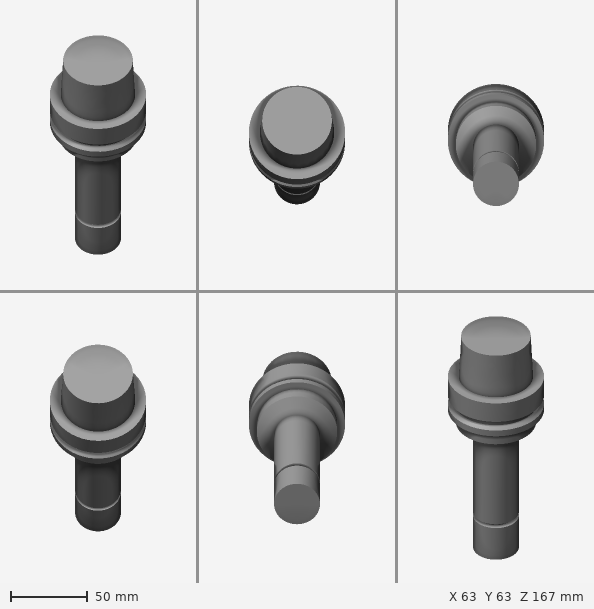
import cadquery as cq

total_height = 167.0
head_height = 25.0
neck_top = 28.0
cone_bottom = 94.0
collar_bottom = 99.2
flange_bottom = 109.0
flange_top = 135.1

groove_middle = 117.0
groove_width = 3.8
groove_diameter = 55.0
groove_flank_height = 1.5
groove_lip_diameter = 58.1

flange_diameter = 63.0
collar_diameter = 52.6
shank_diameter = 30.0
neck_diameter = 23.0
taper_base_diameter = 48.6
taper_top_diameter = 45.6


def revolve_profile(points):
    """Revolve a closed (radius, height) outline about the Z axis."""
    return cq.Workplane("XZ").polyline(points).close().revolve(360, (0, 0), (0, 1))


def make_holder():
    """Tool holder: shank, cone, collar, grooved flange and short clamping taper."""
    groove_bottom = groove_middle - groove_width / 2
    groove_top = groove_middle + groove_width / 2
    shank_radius = shank_diameter / 2
    collar_radius = collar_diameter / 2
    flange_radius = flange_diameter / 2
    lip_radius = groove_lip_diameter / 2
    groove_radius = groove_diameter / 2

    return revolve_profile([
        (0, neck_top),
        (shank_radius, neck_top),
        (shank_radius, cone_bottom),
        (collar_radius, collar_bottom),
        (collar_radius, flange_bottom),
        (flange_radius, flange_bottom),
        (flange_radius, groove_bottom - groove_flank_height),
        (lip_radius, groove_bottom),
        (groove_radius, groove_bottom),
        (groove_radius, groove_top),
        (lip_radius, groove_top),
        (flange_radius, groove_top + groove_flank_height),
        (flange_radius, flange_top),
        (taper_base_diameter / 2, flange_top),
        (taper_top_diameter / 2, total_height),
        (0, total_height),
    ])


def make_head():
    """Cylindrical head whose narrower neck seats against the end of the shank."""
    head_radius = shank_diameter / 2
    neck_radius = neck_diameter / 2
    return revolve_profile([
        (0, 0),
        (head_radius, 0),
        (head_radius, head_height),
        (neck_radius, head_height),
        (neck_radius, neck_top),
        (0, neck_top),
    ])


holder = make_holder()
head = make_head()

result = cq.Compound.makeCompound([holder.val(), head.val()])